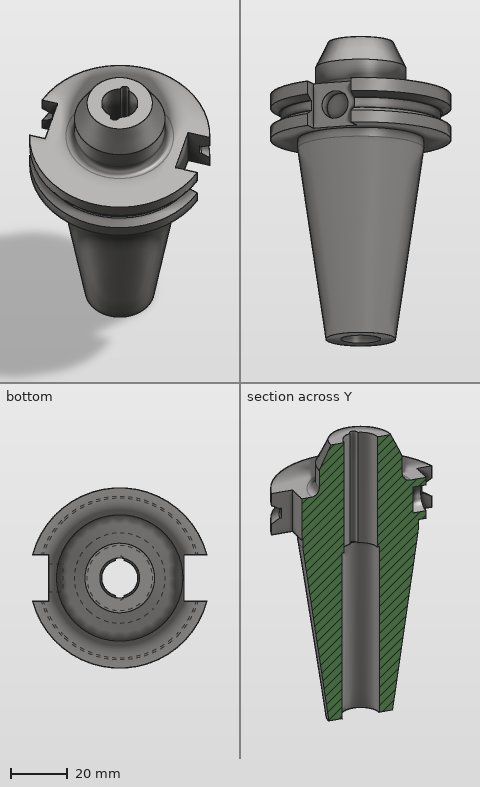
import cadquery as cq
import math

total_length = 106.4

gauge_diameter = 44.5
taper_length = 68.4
taper_ratio = 7 / 24
shank_end_diameter = gauge_diameter - taper_length * taper_ratio
neck_length = 3.2

flange_diameter = 63.5
flange_thickness = 16.0
flange_bottom = taper_length + neck_length
flange_top = flange_bottom + flange_thickness
groove_diameter = 56.3
groove_floor_width = 3.6
groove_wall_angle = 30.0
groove_ledge_width = 0.6
groove_center = flange_bottom + 7.8

nose_diameter = 31.9
nose_tip_diameter = 23.0
nose_cone_length = 9.0
nose_fillet = 3.0

notch_width = 16.3
left_notch_floor = -25.0
right_notch_floor = 22.7
drive_hole_diameter = 9.8
drive_hole_depth = 5.0

bore_diameter = 12.7
rear_bore_diameter = 14.0
bore_length = 42.5
relief_diameter = 3.0


def revolved_body():
    flange_radius = flange_diameter / 2
    groove_radius = groove_diameter / 2
    nose_radius = nose_diameter / 2
    gauge_radius = gauge_diameter / 2
    groove_floor_half = groove_floor_width / 2
    ledge_radius = groove_radius + groove_ledge_width
    wall_rise = (flange_radius - ledge_radius) * math.tan(math.radians(groove_wall_angle))
    groove_mouth_half = groove_floor_half + wall_rise
    fillet_top = flange_top + nose_fillet
    fillet_offset = nose_fillet * (1 - math.sqrt(0.5))
    fillet_middle = (nose_radius + fillet_offset, flange_top + fillet_offset)
    return (
        cq.Workplane("XZ")
        .moveTo(0, 0)
        .lineTo(shank_end_diameter / 2, 0)
        .lineTo(gauge_radius, taper_length)
        .lineTo(gauge_radius, flange_bottom)
        .lineTo(flange_radius, flange_bottom)
        .lineTo(flange_radius, groove_center - groove_mouth_half)
        .lineTo(ledge_radius, groove_center - groove_floor_half)
        .lineTo(groove_radius, groove_center - groove_floor_half)
        .lineTo(groove_radius, groove_center + groove_floor_half)
        .lineTo(ledge_radius, groove_center + groove_floor_half)
        .lineTo(flange_radius, groove_center + groove_mouth_half)
        .lineTo(flange_radius, flange_top)
        .lineTo(nose_radius + nose_fillet, flange_top)
        .threePointArc(fillet_middle, (nose_radius, fillet_top))
        .lineTo(nose_radius, total_length - nose_cone_length)
        .lineTo(nose_tip_diameter / 2, total_length)
        .lineTo(0, total_length)
        .close()
        .revolve(360, (0, 0, 0), (0, 1, 0))
    )


def drive_notch(floor_x):
    rim_x = math.copysign(flange_diameter / 2, floor_x)
    return (
        cq.Workplane("XY")
        .workplane(offset=flange_bottom)
        .center((floor_x + rim_x) / 2, 0)
        .rect(abs(rim_x - floor_x), notch_width)
        .extrude(flange_thickness)
    )


def drive_hole():
    return (
        cq.Workplane("YZ")
        .workplane(offset=left_notch_floor)
        .center(0, flange_bottom + flange_thickness / 2)
        .circle(drive_hole_diameter / 2)
        .extrude(drive_hole_depth)
    )


def stepped_bore():
    bore_start = total_length - bore_length
    rear_bore = cq.Workplane("XY").circle(rear_bore_diameter / 2).extrude(bore_start)
    upper = cq.Workplane("XY").workplane(offset=bore_start)
    bore = upper.circle(bore_diameter / 2).extrude(bore_length)
    reliefs = (
        upper.pushPoints([(0, -bore_diameter / 2), (0, bore_diameter / 2)])
        .circle(relief_diameter / 2)
        .extrude(bore_length)
    )
    return rear_bore.union(bore).union(reliefs)


result = revolved_body()
for notch_floor in (left_notch_floor, right_notch_floor):
    result = result.cut(drive_notch(notch_floor))
result = result.cut(drive_hole()).cut(stepped_bore())